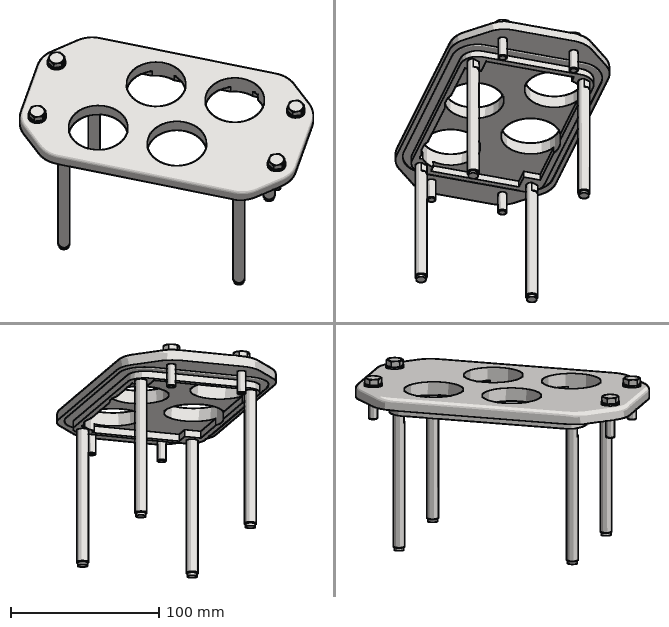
import cadquery as cq
import math

plate_length = 192
plate_width = 112.0
plate_thickness = 8.0
plate_corner_cut = 26.1
plate_corner_radius = 20.0
plate_edge_radius = 3.0

hole_diameter = 40.0
hole_pitch = 55.0
hole_row_y = 24.0
hole_row_shift = hole_pitch / 4

frame_length = 137.5
frame_width = 93.3
frame_corner_radius = 12.3
frame_wall = 4.2
frame_bottom = -6.0

pad_overhang = 5.8
pad_thickness = 1.2
pad_edge_radius = 0.5

pillar_diameter = 8.0
pillar_inset = 7.7
pillar_x = frame_length / 2 - pillar_inset
pillar_y = frame_width / 2 - pillar_inset
pillar_bottom = -101.4
pillar_tip_diameter = 6.7
pillar_tip_length = 2.0
pillar_shoulder_bevel = 0.5
boss_side = 16.1
flat_distance = 3.0
flat_height = 6.5
flat_angle = 205

bolt_x = 83.5
bolt_y = 25.0
bolt_diameter = 6.0
bolt_bottom = -15.4
bolt_tip_bevel = 0.5
flange_diameter = 12.3
flange_thickness = 1.2
head_height = 5.2
head_across_flats = 10.0
head_across_corners = head_across_flats / math.cos(math.pi / 6)
head_bevel_slope = math.tan(math.pi / 6)
head_angle = 25


def cylinder(diameter, bottom, top):
    return cq.Workplane("XY").workplane(offset=bottom).circle(diameter / 2).extrude(top - bottom)


def rounded_block(length, width, radius, bottom, top):
    block = cq.Workplane("XY").workplane(offset=bottom).rect(length, width).extrude(top - bottom)
    return block.edges("|Z").fillet(radius)


def mirrored_points(x, y):
    """The four points at +-x, +-y."""
    return [(sx * x, sy * y) for sx in (-1, 1) for sy in (-1, 1)]


def make_plate():
    plate = cq.Workplane("XY").rect(plate_length, plate_width).extrude(plate_thickness)
    plate = plate.edges("|Z").chamfer(plate_corner_cut)
    plate = plate.edges("|Z").fillet(plate_corner_radius)
    return plate.faces(">Z").edges().fillet(plate_edge_radius)


def make_pad():
    pad = rounded_block(
        frame_length + 2 * pad_overhang,
        frame_width + 2 * pad_overhang,
        frame_corner_radius + pad_overhang,
        -pad_thickness,
        0,
    )
    return pad.faces("<Z").edges().fillet(pad_edge_radius)


def make_frame():
    outer = rounded_block(frame_length, frame_width, frame_corner_radius, frame_bottom, 0)
    inner = rounded_block(
        frame_length - 2 * frame_wall,
        frame_width - 2 * frame_wall,
        frame_corner_radius - frame_wall,
        frame_bottom,
        0,
    )
    frame = outer.cut(inner)
    for x, y in mirrored_points(pillar_x, pillar_y):
        boss = (
            cq.Workplane("XY")
            .workplane(offset=frame_bottom)
            .center(x, y)
            .rect(boss_side, boss_side)
            .extrude(-frame_bottom)
        )
        frame = frame.union(boss.intersect(outer))
    return frame


def make_holes():
    holes = cq.Workplane("XY")
    for row in (-1, 1):
        for column in (-1, 1):
            x = row * hole_row_shift + column * hole_pitch / 2
            hole = cylinder(hole_diameter, frame_bottom, plate_thickness)
            holes = holes.add(hole.translate((x, row * hole_row_y, 0)))
    return holes.combine()


def make_pillar():
    shoulder = pillar_bottom + pillar_tip_length
    pillar = cylinder(pillar_diameter, shoulder, frame_bottom)
    pillar = pillar.faces("<Z").chamfer(pillar_shoulder_bevel)
    tip = cylinder(pillar_tip_diameter, pillar_bottom, shoulder)
    cutter = (
        cq.Workplane("XY")
        .workplane(offset=frame_bottom - flat_height)
        .rect(pillar_diameter, 2 * pillar_diameter)
        .extrude(flat_height)
        .translate((flat_distance + pillar_diameter / 2, 0, 0))
        .rotate((0, 0, 0), (0, 0, 1), flat_angle)
    )
    return pillar.union(tip).cut(cutter)


def make_bolt():
    shank = cylinder(bolt_diameter, bolt_bottom, plate_thickness).faces("<Z").chamfer(bolt_tip_bevel)
    head_top = plate_thickness + head_height
    flange = cylinder(flange_diameter, plate_thickness, plate_thickness + flange_thickness)
    hexagon = (
        cq.Workplane("XY")
        .workplane(offset=plate_thickness)
        .polygon(6, head_across_corners)
        .extrude(head_height)
        .rotate((0, 0, 0), (0, 0, 1), head_angle)
    )
    bevel_width = (head_across_corners - head_across_flats) / 2
    blank = cylinder(head_across_corners, plate_thickness, head_top)
    blank = blank.faces(">Z").edges().chamfer(bevel_width * head_bevel_slope, bevel_width)
    return shank.union(flange).union(hexagon.intersect(blank))


result = make_plate().union(make_pad()).union(make_frame()).cut(make_holes())
for x, y in mirrored_points(pillar_x, pillar_y):
    result = result.union(make_pillar().translate((x, y, 0)))
for x, y in mirrored_points(bolt_x, bolt_y):
    result = result.union(make_bolt().translate((x, y, 0)))